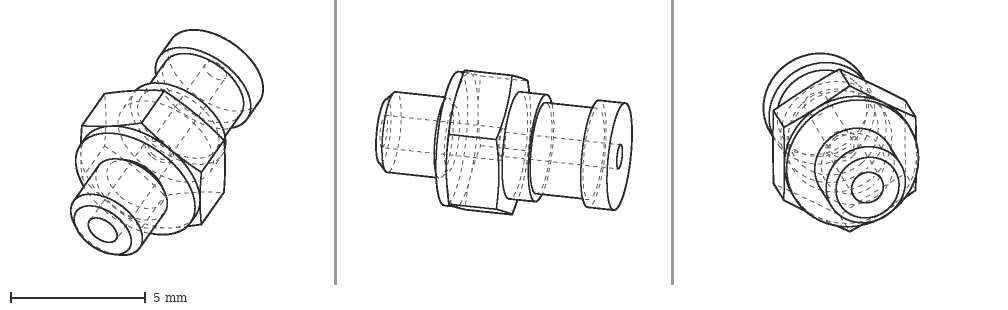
import cadquery as cq
import math

spigot_shoulder = 2.6
flange_end = 3.0
hex_end = 5.0
collar_end = 6.0
neck_end = 8.0
length = 9.0

spigot_radius = 1.5
spigot_chamfer = 0.31
across_flats = 5.0
flange_radius = across_flats / 2
collar_radius = 2.0
neck_radius = 1.7
bore_radius = 0.45
entry_bore_radius = 0.6
entry_bore_depth = 4.5

corner_radius = across_flats / math.sqrt(3)
corner_chamfer_length = 0.1


def revolve_about_y(profile):
    """Revolve a closed (radius, station) profile around the Y axis."""
    return cq.Workplane("XY").polyline(profile).close().revolve(360, (0, 0), (0, 1))


def cylinder(radius, start, end):
    """Solid cylinder on the Y axis between two stations."""
    return revolve_about_y([(0, start), (radius, start), (radius, end), (0, end)])


def make_spigot():
    """Spigot with a chamfered tip and a matching taper at the shoulder."""
    end_radius = spigot_radius - spigot_chamfer
    return revolve_about_y([
        (0, 0),
        (end_radius, 0),
        (spigot_radius, spigot_chamfer),
        (spigot_radius, spigot_shoulder - spigot_chamfer),
        (end_radius, spigot_shoulder),
        (0, spigot_shoulder),
    ])


def make_hexagon():
    """Hexagon with corners along Z, trimmed by a cone at each end."""
    height = hex_end - flange_end
    prism = (
        cq.Workplane("XZ", origin=(0, hex_end, 0))
        .transformed(rotate=(0, 0, 90))
        .polygon(6, 2 * corner_radius)
        .extrude(height)
    )
    envelope = revolve_about_y([
        (0, flange_end),
        (flange_radius, flange_end),
        (corner_radius, flange_end + corner_chamfer_length),
        (corner_radius, hex_end - corner_chamfer_length),
        (flange_radius, hex_end),
        (0, hex_end),
    ])
    return prism.intersect(envelope)


body = (
    make_spigot()
    .union(cylinder(flange_radius, spigot_shoulder, flange_end))
    .union(make_hexagon())
    .union(cylinder(collar_radius, hex_end, collar_end))
    .union(cylinder(neck_radius, collar_end, neck_end))
    .union(cylinder(collar_radius, neck_end, length))
)

result = (
    body
    .cut(cylinder(bore_radius, 0, length))
    .cut(cylinder(entry_bore_radius, 0, entry_bore_depth))
)